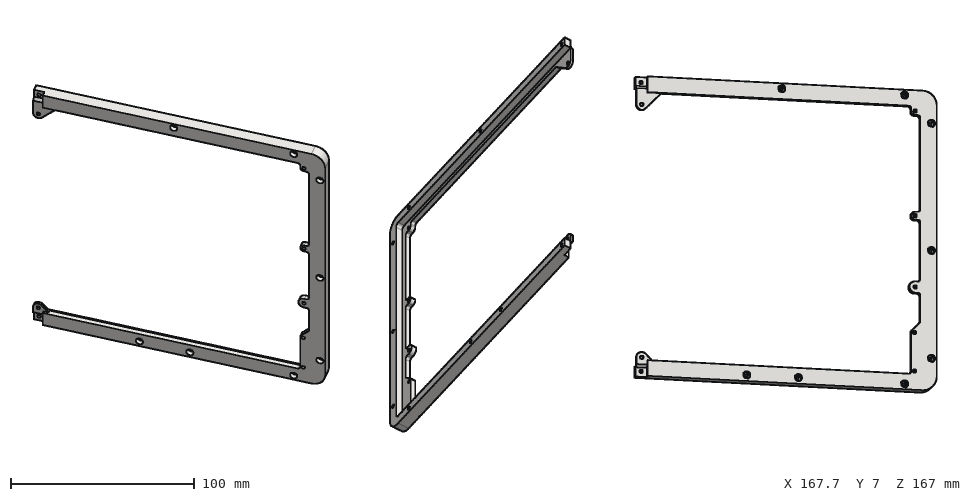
import cadquery as cq
import math

LENGTH = 167.74
HEIGHT = 166.98
DEPTH = 7.0
OUTER_RADIUS = 8.0

PLATE_THICKNESS = 3.0
ARM_WIDTH = 8.8
POST_WIDTH = 9.2
RIM_WIDTH = 6.0
RIM_RADIUS = OUTER_RADIUS - RIM_WIDTH

POST_X = LENGTH - POST_WIDTH
LOWER_ARM_Z = ARM_WIDTH
UPPER_ARM_Z = HEIGHT - ARM_WIDTH
INNER_FILLET = 1.5

TAB_LENGTH = 6.0
TAB_RECESS = 1.4
PAD_HEIGHT = 5.0
EAR_THICKNESS = PLATE_THICKNESS - TAB_RECESS
EAR_RADIUS = TAB_LENGTH / 2
LOWER_EAR_REACH = 10.5
UPPER_EAR_REACH = 15.5
TAB_HOLE_OFFSET = 3.0

BOSS_X = 155.65
SMALL_BOSS_RADIUS = 2.2
LARGE_BOSS_RADIUS = 3.2
CORNER_BOSS_DROP = 2.8
CORNER_BOSS_Z = UPPER_ARM_Z - CORNER_BOSS_DROP
SMALL_BOSS_Z = 97.1
LARGE_BOSS_Z = 57.3

FOOT_X = BOSS_X - SMALL_BOSS_RADIUS
FOOT_TOP_Z = 32.8
FOOT_ROUNDING = 2.0
FOOT_HOLE_X = 155.25
FOOT_HOLES_Z = (LOWER_EAR_REACH, 31.9)

SMALL_HOLE_DIAMETER = 1.9
SCREW_HOLE_DIAMETER = 2.0
COUNTERBORE_DIAMETER = 4.0
COUNTERBORE_DEPTH = PLATE_THICKNESS
SCREW_EDGE_OFFSET = 3.0
SCREW_CORNER_OFFSET = 18.0
LOWER_SCREWS_X = (61.4, 90.3)
LOWER_SCREWS_Z = 3.4
UPPER_SCREWS_X = (81.0, LENGTH - SCREW_CORNER_OFFSET)
POST_SCREWS_Z = (SCREW_CORNER_OFFSET, 78.1, HEIGHT - SCREW_CORNER_OFFSET)


def block(x_range, y_range, z_range):
    """Box given by its limits along each axis."""
    size = [high - low for low, high in (x_range, y_range, z_range)]
    corner = (x_range[0], y_range[0], z_range[0])
    return cq.Workplane().box(*size, centered=False).translate(corner)


def front_plane(y=0.0):
    """Work plane facing -Y at depth y; a negative extrusion goes into the part."""
    return cq.Workplane("XZ", origin=(0, y, 0))


def cylinder(x, z, diameter, y_range):
    """Cylinder along Y."""
    low, high = y_range
    return front_plane(low).center(x, z).circle(diameter / 2).extrude(low - high)


def round_corner(body, x, z, radius):
    """Fillet the edge along Y that is nearest to (x, z)."""
    point = (x, PLATE_THICKNESS / 2, z)
    return body.edges("|Y").edges(cq.selectors.NearestToPointSelector(point)).fillet(radius)


def c_frame(y_range, arm_width, post_width):
    """Two arms joined by a post, with rounded outer corners."""
    frame = block((0, LENGTH), y_range, (0, HEIGHT)).edges("|Y and >X").fillet(OUTER_RADIUS)
    opening = block((0, LENGTH - post_width), y_range, (arm_width, HEIGHT - arm_width))
    return frame.cut(opening)


def rim():
    """Narrow rear layer with its inner corners concentric to the outer ones."""
    body = c_frame((PLATE_THICKNESS, DEPTH), RIM_WIDTH, RIM_WIDTH)
    for z in (RIM_WIDTH, HEIGHT - RIM_WIDTH):
        body = round_corner(body, LENGTH - RIM_WIDTH, z, RIM_RADIUS)
    return body


def add_side_boss(plate, z, radius):
    """Round-ended boss on the inner side of the post."""
    layer = (0, PLATE_THICKNESS)
    plate = plate.union(cylinder(BOSS_X, z, 2 * radius, layer))
    plate = plate.union(block((BOSS_X, LENGTH - RIM_WIDTH), layer, (z - radius, z + radius)))
    for side in (-radius, radius):
        plate = round_corner(plate, POST_X, z + side, INNER_FILLET)
    return plate


def add_corner_boss(plate):
    """Boss filling the upper inner corner of the plate."""
    bottom = CORNER_BOSS_Z - SMALL_BOSS_RADIUS
    boss = block((FOOT_X, LENGTH - RIM_WIDTH), (0, PLATE_THICKNESS), (bottom, HEIGHT - RIM_WIDTH))
    plate = plate.union(round_corner(boss, FOOT_X, bottom, SMALL_BOSS_RADIUS))
    plate = round_corner(plate, FOOT_X, UPPER_ARM_Z, INNER_FILLET)
    return round_corner(plate, POST_X, bottom, INNER_FILLET)


def add_foot(plate):
    """Widened lower end of the post, with a 45 degree shoulder on top."""
    shoulder_top = FOOT_TOP_Z + POST_X - FOOT_X
    outline = [
        (FOOT_X, RIM_WIDTH),
        (FOOT_X, FOOT_TOP_Z),
        (POST_X, shoulder_top),
        (LENGTH - RIM_WIDTH, shoulder_top),
        (LENGTH - RIM_WIDTH, RIM_WIDTH),
    ]
    plate = plate.union(front_plane().polyline(outline).close().extrude(-PLATE_THICKNESS))
    plate = round_corner(plate, FOOT_X, FOOT_TOP_Z, FOOT_ROUNDING)
    plate = round_corner(plate, POST_X, shoulder_top, INNER_FILLET)
    return round_corner(plate, FOOT_X, LOWER_ARM_Z, INNER_FILLET)


def plate():
    """Wide front layer with its bosses and foot."""
    body = c_frame((0, PLATE_THICKNESS), ARM_WIDTH, POST_WIDTH)
    body = add_corner_boss(body)
    body = add_side_boss(body, SMALL_BOSS_Z, SMALL_BOSS_RADIUS)
    body = add_side_boss(body, LARGE_BOSS_Z, LARGE_BOSS_RADIUS)
    return add_foot(body)


def ear(reach):
    """Thin ear of a lower arm: round end, with a 45 degree flank tangent to it."""
    layer = (TAB_RECESS, PLATE_THICKNESS)
    tip = cylinder(EAR_RADIUS, reach, 2 * EAR_RADIUS, layer)
    tangent = EAR_RADIUS * math.cos(math.radians(45))
    flank_x = EAR_RADIUS + tangent
    flank_z = reach + tangent
    outline = [
        (0, PAD_HEIGHT),
        (0, reach),
        (EAR_RADIUS, reach),
        (flank_x, flank_z),
        (flank_x + flank_z - PAD_HEIGHT, PAD_HEIGHT),
    ]
    web = front_plane(TAB_RECESS).polyline(outline).close().extrude(-EAR_THICKNESS)
    return tip.union(web)


def tab_recess():
    """Material removed in front of a lower arm's tab, with a 45 degree ramp up to the ear."""
    ramp_top = PAD_HEIGHT + EAR_THICKNESS
    profile = [
        (0, 0),
        (PLATE_THICKNESS, 0),
        (PLATE_THICKNESS, PAD_HEIGHT),
        (TAB_RECESS, ramp_top),
        (TAB_RECESS, ARM_WIDTH),
        (0, ARM_WIDTH),
    ]
    return cq.Workplane("YZ").polyline(profile).close().extrude(TAB_LENGTH)


def flipped(body):
    """Mirror image for the upper arm."""
    return body.mirror("XY", (0, 0, HEIGHT / 2))


def add_tabs(body):
    """Ears and recessed pads at both free ends."""
    body = body.union(ear(LOWER_EAR_REACH)).union(flipped(ear(UPPER_EAR_REACH)))
    return body.cut(tab_recess()).cut(flipped(tab_recess()))


def drill_small_holes(body):
    """Plain through holes in the tabs, bosses and foot."""
    places = [
        (EAR_RADIUS, TAB_HOLE_OFFSET),
        (EAR_RADIUS, HEIGHT - TAB_HOLE_OFFSET),
        (EAR_RADIUS, LOWER_EAR_REACH),
        (EAR_RADIUS, HEIGHT - UPPER_EAR_REACH),
    ]
    places += [(BOSS_X, z) for z in (CORNER_BOSS_Z, SMALL_BOSS_Z, LARGE_BOSS_Z)]
    places += [(FOOT_HOLE_X, z) for z in FOOT_HOLES_Z]
    for x, z in places:
        body = body.cut(cylinder(x, z, SMALL_HOLE_DIAMETER, (0, DEPTH)))
    return body


def drill_screw_holes(body):
    """Counterbored through holes along the rim."""
    places = [(x, LOWER_SCREWS_Z) for x in LOWER_SCREWS_X]
    places.append((LENGTH - SCREW_CORNER_OFFSET, SCREW_EDGE_OFFSET))
    places += [(x, HEIGHT - SCREW_EDGE_OFFSET) for x in UPPER_SCREWS_X]
    places += [(LENGTH - SCREW_EDGE_OFFSET, z) for z in POST_SCREWS_Z]
    for x, z in places:
        body = body.cut(cylinder(x, z, SCREW_HOLE_DIAMETER, (0, DEPTH)))
        body = body.cut(cylinder(x, z, COUNTERBORE_DIAMETER, (0, COUNTERBORE_DEPTH)))
    return body


frame = add_tabs(plate().union(rim()))
result = drill_screw_holes(drill_small_holes(frame))